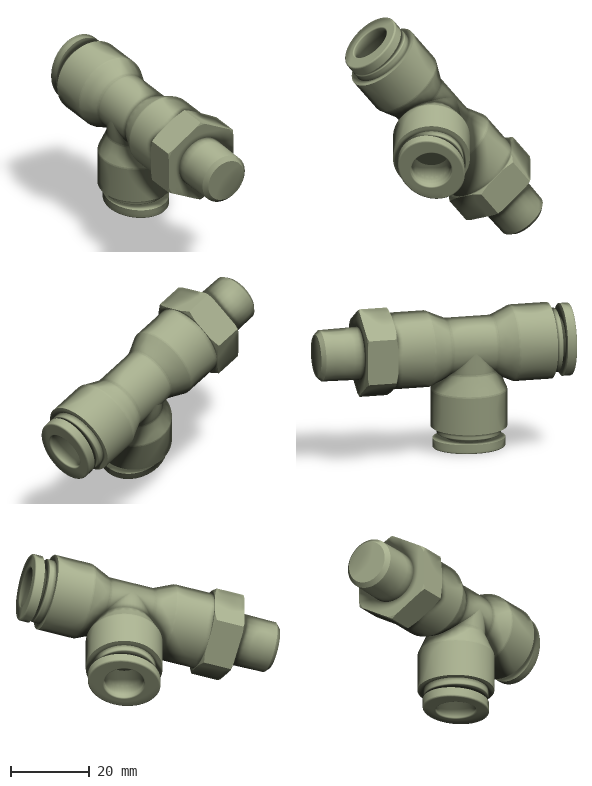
import cadquery as cq
import math


overall_length = 66.4
arm_reach = 26.4
stud_end = overall_length - arm_reach

body_diameter = 19.5
throat_diameter = 15.0
body_face = 20.9
throat_half_length = 6.0
cone_end = 11.1
blend_radius = 1.0

collar_diameter = 16.5
collar_face = 22.8
collar_edge_radius = 0.25
socket_floor = 16.5

sleeve_neck_diameter = 11.7
flange_long_diameter = 18.7
flange_short_diameter = 15.95
flange_thickness = 2.45
flange_edge_radius = 0.4
bore_diameter = 10.2
bore_inner_diameter = 10.15
bore_taper_start = 3.6
bore_taper_end = 5.25
bore_mouth_radius = 0.3

hex_sides = 6
hex_across_flats = 20.0
hex_across_corners = hex_across_flats / math.cos(math.pi / hex_sides)
hex_length = 8.0
inner_chamfer_diameter = 20.7
inner_chamfer_length = 0.5
outer_chamfer_diameter = 21.8
outer_chamfer_length = 0.25
thread_root_diameter = 13.5
thread_tip_diameter = 13.1
thread_chamfer = 1.05


def turned(outline):
    """Revolve an outline of (radius, height) points about the Z axis."""
    return cq.Workplane("XZ").polyline(outline).close().revolve(360, (0, 0, 0), (0, 1, 0))


def along_run(part):
    """Turn a part about Y so that -Z becomes -X and +Z becomes +X."""
    return part.rotate((0, 0, 0), (0, 1, 0), 90)


def make_arm():
    """One solid arm of the tee pointing down -Z, with blended cone ends."""
    throat_radius = throat_diameter / 2
    body_radius = body_diameter / 2
    arm = turned([
        (0, 0),
        (throat_radius, 0),
        (throat_radius, -throat_half_length),
        (body_radius, -cone_end),
        (body_radius, -body_face),
        (0, -body_face),
    ])
    cone_rims = arm.edges("%CIRCLE").filter(lambda rim: -body_face < round(rim.Center().z, 3) < 0)
    return cone_rims.fillet(blend_radius)


def make_socket():
    """Recess that seats a collar and its release sleeve."""
    return (cq.Workplane("XY").workplane(offset=-body_face)
            .circle(collar_diameter / 2).extrude(body_face - socket_floor))


def make_tee_body():
    branch = make_arm()
    inlet = along_run(make_arm())
    outlet = inlet.mirror("YZ")
    body = inlet.union(outlet).union(branch)
    return body.cut(make_socket()).cut(along_run(make_socket()))


def make_collar():
    """Ring between the tee body and the neck of a release sleeve."""
    ring = (cq.Workplane("XY").workplane(offset=-collar_face)
            .circle(collar_diameter / 2).extrude(collar_face - socket_floor))
    ring = ring.faces("<Z").edges().fillet(collar_edge_radius)
    return ring.cut(turned([
        (0, -collar_face),
        (sleeve_neck_diameter / 2, -collar_face),
        (sleeve_neck_diameter / 2, -socket_floor),
        (0, -socket_floor),
    ]))


def make_sleeve():
    """Tube with an oval push flange, long across X."""
    flange = (cq.Workplane("XY").workplane(offset=-arm_reach)
              .ellipse(flange_long_diameter / 2, flange_short_diameter / 2)
              .extrude(flange_thickness)
              .faces("<Z").edges().fillet(flange_edge_radius))
    neck = (cq.Workplane("XY").workplane(offset=-arm_reach + flange_thickness)
            .circle(sleeve_neck_diameter / 2)
            .extrude(arm_reach - flange_thickness - socket_floor))
    bore = turned([
        (0, -arm_reach),
        (bore_diameter / 2, -arm_reach),
        (bore_diameter / 2, -arm_reach + bore_taper_start),
        (bore_inner_diameter / 2, -arm_reach + bore_taper_end),
        (bore_inner_diameter / 2, -socket_floor),
        (0, -socket_floor),
    ])
    sleeve = flange.union(neck).cut(bore)
    return sleeve.faces("<Z").edges("%CIRCLE").fillet(bore_mouth_radius)


def make_stud():
    """Hexagon with two corners up and down, and a chamfered taper thread blank."""
    hex_end = body_face + hex_length
    corner_radius = hex_across_corners / 2
    prism = (cq.Workplane("XY").workplane(offset=body_face)
             .polygon(hex_sides, hex_across_corners).extrude(hex_length))
    chamfer_envelope = turned([
        (0, body_face),
        (inner_chamfer_diameter / 2, body_face),
        (corner_radius, body_face + inner_chamfer_length),
        (corner_radius, hex_end - outer_chamfer_length),
        (outer_chamfer_diameter / 2, hex_end),
        (0, hex_end),
    ])
    thread_tip_radius = thread_tip_diameter / 2
    thread = turned([
        (0, hex_end),
        (thread_root_diameter / 2, hex_end),
        (thread_tip_radius, stud_end - thread_chamfer),
        (thread_tip_radius - thread_chamfer, stud_end),
        (0, stud_end),
    ])
    return along_run(prism.intersect(chamfer_envelope).union(thread))


tee_body = make_tee_body()
stud = make_stud()

push_in_parts = []
for make_part in (make_collar, make_sleeve):
    push_in_parts.append(make_part().val())
    push_in_parts.append(along_run(make_part()).val())

result = cq.Compound.makeCompound([tee_body.val(), stud.val(), *push_in_parts])